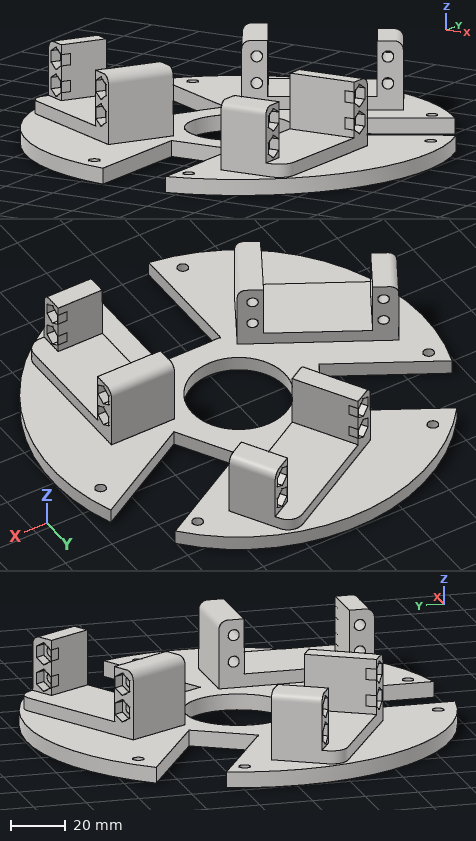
import cadquery as cq

disc_diameter = 159.8
disc_thickness = 6.0
bore_diameter = 40.0
arm_count = 3
arm_pitch = 360 / arm_count
slot_width = 26.0
slot_center_x = 2.0
slot_inner_distance = 29.9
screw_hole_diameter = 4.2
screw_hole_offset_x = 20.0
screw_hole_distance = 70.0

total_height = 32.0
bracket_inner_x = 27.3
bracket_width = 27.2
bracket_outer_y = -59.5
bracket_inner_y = -0.5
base_thickness = 5.0
base_corner_radius = 6.0
wall_thickness = 9.6
short_wall_width = 19.0
wall_top_radius = 3.4

bolt_hole_diameter = 4.2
bolt_inset = 4.0
bolt_heights = (16.0, 26.0)
nut_across_corners = 8.5
nut_pocket_depth = 4.0


def copies_around_axis(shape):
    """Return one compound holding the shape at every arm of the disc."""
    turned = [
        shape.val().rotate(cq.Vector(0, 0, 0), cq.Vector(0, 0, 1), arm * arm_pitch)
        for arm in range(arm_count)
    ]
    return cq.Workplane(obj=cq.Compound.makeCompound(turned))


def make_disc():
    """Disc with a central bore, radial slots and a screw hole on each side of a slot."""
    disc = (
        cq.Workplane()
        .circle(disc_diameter / 2)
        .circle(bore_diameter / 2)
        .extrude(disc_thickness)
    )
    slot_length = disc_diameter / 2
    slot = (
        cq.Workplane()
        .center(slot_center_x, -slot_inner_distance - slot_length / 2)
        .rect(slot_width, slot_length)
        .extrude(disc_thickness)
    )
    screw_holes = (
        cq.Workplane()
        .pushPoints([(side * screw_hole_offset_x, -screw_hole_distance) for side in (-1, 1)])
        .circle(screw_hole_diameter / 2)
        .extrude(disc_thickness)
    )
    return disc.cut(copies_around_axis(slot)).cut(copies_around_axis(screw_holes))


def make_wall(outer_y, outward, width):
    """Upright wall across a bracket, with its outer face at outer_y; outward is +1 or -1 along Y."""
    wall_height = total_height - disc_thickness
    inner_y = outer_y - outward * wall_thickness
    wall = (
        cq.Workplane(origin=(bracket_inner_x, min(outer_y, inner_y), disc_thickness))
        .box(width, wall_thickness, wall_height, centered=False)
        .faces(">Z")
        .edges(">Y" if outward > 0 else "<Y")
        .fillet(wall_top_radius)
    )
    bolt_y = inner_y + outward * bolt_inset
    pocket_floor_x = bracket_inner_x + width - nut_pocket_depth
    for height in bolt_heights:
        bolt_hole = (
            cq.Workplane("YZ", origin=(bracket_inner_x, bolt_y, height))
            .circle(bolt_hole_diameter / 2)
            .extrude(width)
        )
        nut_pocket = (
            cq.Workplane("YZ", origin=(pocket_floor_x, bolt_y, height))
            .transformed(rotate=(0, 0, 90))
            .polygon(6, nut_across_corners)
            .extrude(nut_pocket_depth)
        )
        wall = wall.cut(bolt_hole).cut(nut_pocket)
    return wall


def make_bracket():
    """Base plate with a full-width wall at one end and a narrower wall at the other."""
    base = (
        cq.Workplane(origin=(bracket_inner_x, bracket_outer_y, disc_thickness))
        .box(bracket_width, bracket_inner_y - bracket_outer_y, base_thickness, centered=False)
        .edges("|Z and >X and <Y")
        .fillet(base_corner_radius)
    )
    full_wall = make_wall(bracket_inner_y, 1, bracket_width)
    short_wall = make_wall(bracket_outer_y, -1, short_wall_width)
    return base.union(full_wall).union(short_wall)


result = make_disc().union(copies_around_axis(make_bracket()))